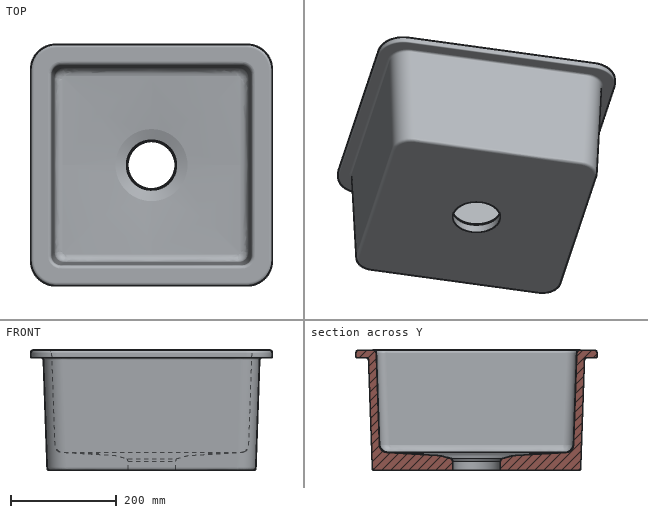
import cadquery as cq
import math


rim_side = 457.0
rim_thickness = 15.0
rim_corner_radius = 48.5
rim_top_round = 6.5
rim_bottom_round = 2.5

overall_height = 228.0
draft_angle = 2.0
body_side = 409.5
body_corner_radius = 35.5
body_bottom_round = 5.5
under_rim_fillet = 3.5

bowl_side = 379.0
bowl_corner_radius = 18.5
bowl_depth = 193.8
bowl_floor_fillet = 14.5
bowl_lip_round = 6.5

floor_margin = 0.5
floor_fall = 6.0
drain_rim_radius = 68.0
drain_seat_radius = 47.0
drain_seat_fall = 6.0
drain_radius = 45.0
drain_throat_fall = 4.5

draft_slope = math.tan(math.radians(draft_angle))


def rounded_square(side, corner_radius):
    """Centered square outline with rounded corners."""
    return cq.Sketch().rect(side, side).vertices().fillet(corner_radius)


def drafted_block(top_side, corner_radius, top_z, bottom_z):
    """Square block narrowing downward, with the same corner radius at both ends."""
    height = top_z - bottom_z
    bottom_side = top_side - 2 * height * draft_slope
    return (
        cq.Workplane("XY", origin=(0, 0, bottom_z))
        .placeSketch(
            rounded_square(bottom_side, corner_radius),
            rounded_square(top_side, corner_radius).moved(cq.Location(cq.Vector(0, 0, height))),
        )
        .loft(ruled=True)
    )


def make_rim():
    """Flat square rim with rounded upper and lower edges."""
    return (
        cq.Workplane("XY", origin=(0, 0, -rim_thickness))
        .placeSketch(rounded_square(rim_side, rim_corner_radius))
        .extrude(rim_thickness)
        .faces(">Z").edges().fillet(rim_top_round)
        .faces("<Z").edges().fillet(rim_bottom_round)
    )


def make_shell():
    """Solid outer form: rim and body joined by a fillet under the rim."""
    body = drafted_block(body_side, body_corner_radius, -rim_thickness, -overall_height)
    body = body.faces("<Z").edges().fillet(body_bottom_round)
    joint_reach = body_side / 2 + under_rim_fillet
    joint = cq.selectors.BoxSelector(
        (-joint_reach, -joint_reach, -rim_thickness - under_rim_fillet / 10),
        (joint_reach, joint_reach, -rim_thickness + under_rim_fillet / 10),
    )
    return make_rim().union(body).edges(joint).fillet(under_rim_fillet)


def make_bowl():
    """Drafted cavity with a fillet between its walls and its floor."""
    bowl = drafted_block(bowl_side, bowl_corner_radius, 0, -bowl_depth)
    return bowl.faces("<Z").edges().fillet(bowl_floor_fillet)


def make_floor_fall():
    """Shallow cutter from the square floor edge down to the round drain rim.

    Its underside is four smooth patches, one per quadrant, meeting at the middle of each wall.
    """
    fillet_reach = bowl_floor_fillet * math.tan(math.radians((90 - draft_angle) / 2))
    inset = fillet_reach + floor_margin
    floor_half = bowl_side / 2 - bowl_depth * draft_slope - inset
    corner_radius = bowl_corner_radius - inset
    straight_end = floor_half - corner_radius
    corner_mid = straight_end + corner_radius * math.sqrt(0.5)
    drain_mid = drain_rim_radius * math.sqrt(0.5)
    edge_z = -bowl_depth
    drain_z = edge_z - floor_fall

    wall_mid_x = cq.Vector(floor_half, 0, edge_z)
    corner_start = cq.Vector(floor_half, straight_end, edge_z)
    corner_middle = cq.Vector(corner_mid, corner_mid, edge_z)
    corner_end = cq.Vector(straight_end, floor_half, edge_z)
    wall_mid_y = cq.Vector(0, floor_half, edge_z)
    drain_start = cq.Vector(drain_rim_radius, 0, drain_z)
    drain_middle = cq.Vector(drain_mid, drain_mid, drain_z)
    drain_end = cq.Vector(0, drain_rim_radius, drain_z)

    floor_edge = [
        cq.Edge.makeLine(wall_mid_x, corner_start),
        cq.Edge.makeThreePointArc(corner_start, corner_middle, corner_end),
        cq.Edge.makeLine(corner_end, wall_mid_y),
    ]
    drain_edge = cq.Edge.makeThreePointArc(drain_end, drain_middle, drain_start)
    seams = [
        cq.Edge.makeLine(wall_mid_y, drain_end),
        cq.Edge.makeLine(drain_start, wall_mid_x),
    ]
    patch = cq.Face.makeNSidedSurface(floor_edge + [drain_edge] + seams, [])

    def around(shape):
        """Four copies of a shape, a quarter turn apart about the drain axis."""
        return [shape.rotate(cq.Vector(), cq.Vector(0, 0, 1), 90 * turn) for turn in range(4)]

    top_edges = [edge for side in floor_edge for edge in around(side)]
    top = cq.Face.makeFromWires(cq.Wire.combine(top_edges)[0])
    bottom = cq.Face.makeFromWires(cq.Wire.assembleEdges(around(drain_edge)))
    shell = cq.Shell.makeShell(around(patch) + [top, bottom])
    return cq.Workplane(cq.Solid.makeSolid(shell))


def make_drain():
    """Revolved cutter: conical seat, short conical throat, then a through hole."""
    rim_z = -bowl_depth - floor_fall
    seat_z = rim_z - drain_seat_fall
    throat_z = seat_z - drain_throat_fall
    return (
        cq.Workplane("XZ")
        .moveTo(0, rim_z)
        .lineTo(drain_rim_radius, rim_z)
        .lineTo(drain_seat_radius, seat_z)
        .lineTo(drain_radius, throat_z)
        .lineTo(drain_radius, -overall_height)
        .lineTo(0, -overall_height)
        .close()
        .revolve(360, (0, 0, 0), (0, 1, 0))
    )


def round_lip(sink):
    """Round the bowl's opening edge where it meets the rim top."""
    reach = bowl_side / 2 + bowl_lip_round
    lip = cq.selectors.BoxSelector(
        (-reach, -reach, -bowl_lip_round / 10),
        (reach, reach, bowl_lip_round / 10),
    )
    return sink.edges(lip).fillet(bowl_lip_round)


sink = round_lip(make_shell().cut(make_bowl()))
result = sink.cut(make_floor_fall()).cut(make_drain())